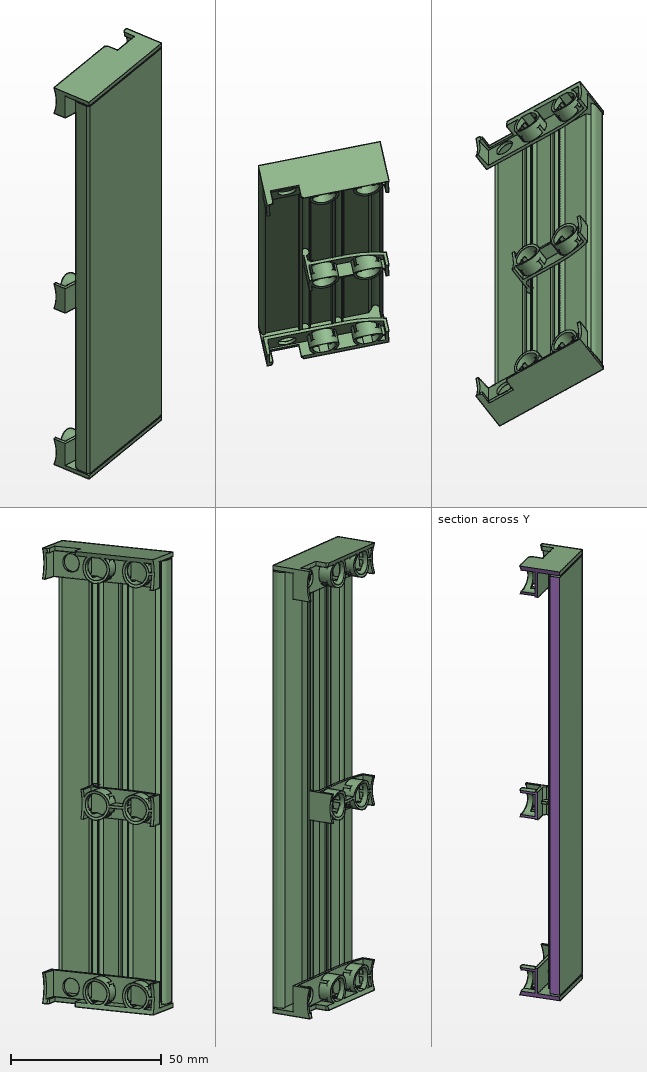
import cadquery as cq
import math

DEPTH = 14.4
WIDTH = 41.4
LENGTH = 154.5

END_HEIGHT = 10.5
MID_HEIGHT = 10.0
MID_BOTTOM = 64.0
MID_WIDTH = 27.0
CAP_THICKNESS = 1.5

WEB_THICKNESS = 1.1
WEB_BACK = 6.5
WEB_BEND_Y = 13.6
WEB_LEAN = 1.9

NEAR_WALL = 1.1
END_WALL_TIP = 1.0
END_WALL_ROOT = 1.4
MID_WALL = 1.0

RING_YS = (7.0, 21.8)
RING_BORE = 8.0
RING_DIAMETER = 9.9
POCKET_WIDTH = 8.2
POCKET_HEIGHT = 7.1
POCKET_FRONT = 2.8
RIB_THICKNESS = 1.0

HOLE_Y = 33.5
HOLE_DIAMETER = 6.2
SADDLE_RADIUS = 15.0

WINDOW_LOW_Y = 29.7
WINDOW_HIGH_Y = 39.2
WINDOW_DEPTH = 4.8
WINDOW_CHAMFER = 0.8

GUSSET = 1.0
LEG_RIB_REACH = 2.0

END_GAP = 0.5
RAIL_FLAT = 10.8
BACK_CHAMFER_X = 1.0
BACK_CHAMFER_Y = 0.5

GROOVE_DIAMETER = 2.6
GROOVE_MOUTH = 2.3
EDGE_GROOVE_X = 11.7
EDGE_GROOVE_Y = 2.2
INNER_GROOVE_X = 10.2
INNER_GROOVE_YS = (15.3, 26.4)
CLIP_TOP = 8.7
CLIP_WIDTH = 4.3
CLIP_LAND = 0.3
SHOULDER_RISE = 0.3

EDGE_LIP_TOP = 8.2
EDGE_LIP_FOOT = 10.2
EDGE_LIP_BULGE = 0.23
LEAD_IN = 1.4

RIDGE_LOW_Y = 39.7
RIDGE_HIGH_Y = 41.0
RIDGE_RISE = 0.5
FAR_EDGE_DROP = 1.5

WEB_FRONT = WEB_BACK - WEB_THICKNESS


def box(x0, x1, y0, y1, z0, z1):
    return cq.Workplane("XY").box(x1 - x0, y1 - y0, z1 - z0, centered=False).translate((x0, y0, z0))


def x_cylinder(diameter, x0, x1, y, z):
    return cq.Workplane("YZ", origin=(x0, y, z)).circle(diameter / 2).extrude(x1 - x0)


def bulge_point(start, end, bulge):
    """Middle of an arc that bulges to the left of the way from start to end."""
    dx = end[0] - start[0]
    dy = end[1] - start[1]
    chord = math.hypot(dx, dy)
    return (
        (start[0] + end[0]) / 2 - bulge * dy / chord,
        (start[1] + end[1]) / 2 + bulge * dx / chord,
    )


def groove(x, y, height):
    """Round groove with a narrower mouth that opens toward -X."""
    half_mouth = GROOVE_MOUTH / 2
    round_part = cq.Workplane("XY").center(x, y).circle(GROOVE_DIAMETER / 2).extrude(height)
    return round_part.union(box(0, x, y - half_mouth, y + half_mouth, 0, height))


def inner_clip(y, height):
    """Raised bar around a groove, with a rounded shoulder on its -Y side."""
    low_y = y - CLIP_WIDTH / 2
    high_y = y + CLIP_WIDTH / 2
    foot = (RAIL_FLAT, low_y)
    tip = (CLIP_TOP, y - GROOVE_MOUTH / 2 - CLIP_LAND)
    return (
        cq.Workplane("XY")
        .moveTo(*foot)
        .threePointArc(bulge_point(foot, tip, -SHOULDER_RISE), tip)
        .lineTo(CLIP_TOP, high_y)
        .lineTo(DEPTH, high_y)
        .lineTo(DEPTH, low_y)
        .close()
        .extrude(height)
    )


def rail_base(height):
    """Rail without the inner clips and without the round part of the grooves."""
    mouth_low_y = EDGE_GROOVE_Y - GROOVE_MOUTH / 2
    mouth_high_y = EDGE_GROOVE_Y + GROOVE_MOUTH / 2
    lip_tip = (EDGE_LIP_TOP, mouth_low_y)
    lip_foot = (EDGE_LIP_FOOT, 0)
    ridge_low = (RAIL_FLAT, RIDGE_LOW_Y)
    ridge_high = (RAIL_FLAT, RIDGE_HIGH_Y)
    return (
        cq.Workplane("XY")
        .moveTo(*lip_tip)
        .threePointArc(bulge_point(lip_tip, lip_foot, -EDGE_LIP_BULGE), lip_foot)
        .lineTo(DEPTH - BACK_CHAMFER_X, 0)
        .lineTo(DEPTH, BACK_CHAMFER_Y)
        .lineTo(DEPTH, WIDTH)
        .lineTo(RAIL_FLAT + FAR_EDGE_DROP, WIDTH)
        .lineTo(*ridge_high)
        .threePointArc(bulge_point(ridge_high, ridge_low, -RIDGE_RISE), ridge_low)
        .lineTo(RAIL_FLAT, mouth_high_y + LEAD_IN)
        .lineTo(RAIL_FLAT + LEAD_IN, mouth_high_y)
        .lineTo(RAIL_FLAT + LEAD_IN, mouth_low_y)
        .close()
        .extrude(height)
    )


def make_rail():
    bottom = CAP_THICKNESS + END_GAP
    height = LENGTH - 2 * bottom
    body = rail_base(height).cut(groove(EDGE_GROOVE_X, EDGE_GROOVE_Y, height))
    for y in INNER_GROOVE_YS:
        body = body.union(inner_clip(y, height)).cut(groove(INNER_GROOVE_X, y, height))
    return body.translate((0, 0, bottom))


def space_before(flat_x, width, height):
    """Space from X = 0 to a face that is flat at flat_x and curves forward toward Y = 0."""
    radius = (WEB_BEND_Y**2 + WEB_LEAN**2) / (2 * WEB_LEAN)
    half_turn = math.asin(WEB_BEND_Y / radius) / 2
    middle = (
        flat_x - radius * (1 - math.cos(half_turn)),
        WEB_BEND_Y - radius * math.sin(half_turn),
    )
    return (
        cq.Workplane("XY")
        .lineTo(flat_x - WEB_LEAN, 0)
        .threePointArc(middle, (flat_x, WEB_BEND_Y))
        .lineTo(flat_x, width)
        .lineTo(0, width)
        .close()
        .extrude(height)
    )


def ring(y, z):
    """Ring body without its bore, opened at four corners by the pocket."""
    half_y = POCKET_WIDTH / 2
    half_z = POCKET_HEIGHT / 2
    pocket = box(POCKET_FRONT, WEB_BACK, y - half_y, y + half_y, z - half_z, z + half_z)
    return x_cylinder(RING_DIAMETER, 0, WEB_BACK, y, z).cut(pocket)


def rib(y0, y1, middle_z):
    """Thin upright plate between two Y positions, from X = 0 to the back of the web."""
    half = RIB_THICKNESS / 2
    return box(0, WEB_BACK, y0, y1, middle_z - half, middle_z + half)


def holder(width, height, far_wall):
    """Curved web with side walls, near rib and two rings."""
    middle_z = height / 2
    envelope = space_before(WEB_BACK, width, height)
    fittings = box(0, WEB_BACK, 0, NEAR_WALL, 0, height)
    fittings = fittings.union(far_wall)
    fittings = fittings.union(rib(0, RING_YS[0], middle_z))
    for y in RING_YS:
        fittings = fittings.union(ring(y, middle_z))
    web = envelope.cut(space_before(WEB_FRONT, width, height))
    return web.union(fittings.intersect(envelope))


def cut_bores(body, width, height):
    """Ring bores, which end on the front of the web."""
    front_space = space_before(WEB_FRONT, width, height)
    for y in RING_YS:
        bore = x_cylinder(RING_BORE, 0, WEB_BACK, y, height / 2)
        body = body.cut(bore.intersect(front_space))
    return body


def cut_saddle(body, height):
    """Shallow hollow along Y in the front edges."""
    half = height / 2
    hollow_depth = SADDLE_RADIUS - math.sqrt(SADDLE_RADIUS**2 - half**2)
    bar = (
        cq.Workplane("XZ", origin=(hollow_depth - SADDLE_RADIUS, 0, half))
        .circle(SADDLE_RADIUS)
        .extrude(-WIDTH)
    )
    return body.cut(bar)


def end_cap():
    """Plate over the rail end, with a window in its front edge."""
    window = (
        cq.Workplane("XY")
        .moveTo(0, WINDOW_LOW_Y - WINDOW_CHAMFER)
        .lineTo(WINDOW_CHAMFER, WINDOW_LOW_Y)
        .lineTo(WINDOW_DEPTH, WINDOW_LOW_Y)
        .lineTo(WINDOW_DEPTH, WINDOW_HIGH_Y)
        .lineTo(WINDOW_CHAMFER, WINDOW_HIGH_Y)
        .lineTo(0, WINDOW_HIGH_Y + WINDOW_CHAMFER)
        .close()
        .extrude(CAP_THICKNESS)
    )
    return box(0, DEPTH, 0, WIDTH, 0, CAP_THICKNESS).cut(window)


def make_end_bracket():
    """Lower end bracket, standing on Z = 0."""
    far_wall = (
        cq.Workplane("XY")
        .polyline([
            (0, WIDTH),
            (0, WIDTH - END_WALL_TIP),
            (WEB_FRONT, WIDTH - END_WALL_ROOT),
            (WEB_FRONT, WIDTH),
        ])
        .close()
        .extrude(END_HEIGHT)
    )
    body = cut_bores(holder(WIDTH, END_HEIGHT, far_wall), WIDTH, END_HEIGHT)
    body = body.cut(x_cylinder(HOLE_DIAMETER, 0, WEB_BACK, HOLE_Y, END_HEIGHT / 2))
    return cut_saddle(body.union(end_cap()), END_HEIGHT)


def snap_leg(leg_y):
    """Leg with a round bead that fills the last rail groove, gusset, and stiffening rib."""
    bead_y = INNER_GROOVE_YS[-1]
    half_rib = RIB_THICKNESS / 2
    leg = box(WEB_BACK, INNER_GROOVE_X, leg_y, MID_WIDTH, 0, MID_HEIGHT)
    bead = (
        cq.Workplane("XY")
        .center(INNER_GROOVE_X, bead_y)
        .circle(GROOVE_DIAMETER / 2)
        .extrude(MID_HEIGHT)
    )
    gusset = (
        cq.Workplane("XY")
        .polyline([(WEB_BACK, leg_y - GUSSET), (WEB_BACK + GUSSET, leg_y), (WEB_BACK, leg_y)])
        .close()
        .extrude(MID_HEIGHT)
    )
    leg_rib = box(
        WEB_BACK, WEB_BACK + LEG_RIB_REACH, leg_y - LEG_RIB_REACH, leg_y,
        MID_HEIGHT / 2 - half_rib, MID_HEIGHT / 2 + half_rib,
    )
    return leg.union(bead).union(gusset).union(leg_rib)


def make_middle_bracket():
    """Bracket that snaps into the last groove of the rail."""
    leg_y = MID_WIDTH - MID_WALL
    far_wall = box(0, WEB_BACK, leg_y, MID_WIDTH, 0, MID_HEIGHT)
    body = holder(MID_WIDTH, MID_HEIGHT, far_wall)
    body = body.union(rib(*RING_YS, MID_HEIGHT / 2))
    body = cut_bores(body, MID_WIDTH, MID_HEIGHT).union(snap_leg(leg_y))
    return cut_saddle(body, MID_HEIGHT).translate((0, 0, MID_BOTTOM))


rail = make_rail()
lower_bracket = make_end_bracket()
upper_bracket = lower_bracket.mirror("XY").translate((0, 0, LENGTH))
middle_bracket = make_middle_bracket()

bodies = [rail, lower_bracket, upper_bracket, middle_bracket]
result = cq.Compound.makeCompound([body.solids().val() for body in bodies])